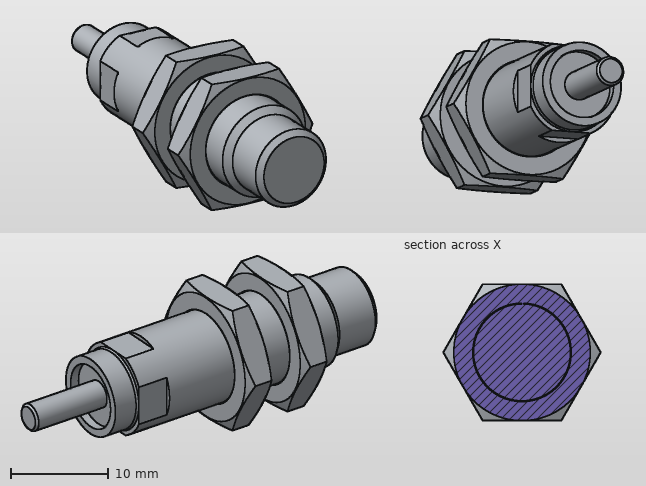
import cadquery as cq
import math

length = 41.5
collar_start = 7.9
flare_start = 10.5
body_start = 10.75
body_end = 36.35
nut_starts = (22.45, 29.42)

rod_diameter = 3.0
collar_diameter = 8.7
recess_diameter = 7.0
body_diameter = 10.0
tail_diameter = 8.5

rod_chamfer = 0.25
tail_chamfer = 0.62
recess_depth = 1.0

flat_length = 3.53
across_flats = 9.0

nut_width = 3.0
nut_across_corners = 16.2
nut_face_diameter = 13.85
nut_chamfer_angle = 22.0
bore_chamfer = 0.1


def cylinder(start, end, diameter):
    """Solid cylinder along X between two stations."""
    return cq.Workplane("YZ", origin=(start, 0, 0)).circle(diameter / 2).extrude(end - start)


def make_rod():
    rod = cylinder(0, body_start, rod_diameter)
    return rod.faces("<X").chamfer(rod_chamfer)


def make_collar():
    """Recessed collar that flares out to the wrench flats where it meets the body."""
    collar = cylinder(collar_start, flare_start, collar_diameter)
    flare = (
        cq.Workplane("YZ", origin=(flare_start, 0, 0))
        .circle(collar_diameter / 2)
        .workplane(offset=body_start - flare_start)
        .circle(across_flats / 2)
        .loft()
    )
    recess = cylinder(collar_start, collar_start + recess_depth, recess_diameter)
    return collar.union(flare).cut(recess)


def make_body():
    """Main barrel, beveled down to the tail, with four wrench flats."""
    bevel = (body_diameter - tail_diameter) / 2
    body = cylinder(body_start, body_end, body_diameter).faces(">X").chamfer(bevel)
    front = cylinder(body_start, body_start + flat_length, body_diameter)
    square = cq.Workplane("YZ", origin=(body_start, 0, 0)).rect(across_flats, across_flats).extrude(flat_length)
    return body.cut(front.cut(square))


def make_tail():
    tail = cylinder(body_end, length, tail_diameter)
    return tail.faces(">X").chamfer(tail_chamfer)


def make_nut(start):
    """Hexagonal nut with conically chamfered corners and a chamfered bore."""
    corner_radius = nut_across_corners / 2
    face_radius = nut_face_diameter / 2
    chamfer_depth = (corner_radius - face_radius) * math.tan(math.radians(nut_chamfer_angle))
    hexagon = cq.Workplane("YZ", origin=(start, 0, 0)).polygon(6, nut_across_corners).extrude(nut_width)
    end = start + nut_width
    envelope = (
        cq.Workplane("XY")
        .moveTo(start, 0)
        .lineTo(start, face_radius)
        .lineTo(start + chamfer_depth, corner_radius)
        .lineTo(end - chamfer_depth, corner_radius)
        .lineTo(end, face_radius)
        .lineTo(end, 0)
        .close()
        .revolve(360, (0, 0, 0), (1, 0, 0))
    )
    bore = cylinder(start, end, body_diameter)
    nut = hexagon.intersect(envelope).cut(bore)
    bore_edge_limit = body_diameter / 2 + bore_chamfer
    bore_edges = cq.selectors.BoxSelector(
        (start - bore_chamfer, -bore_edge_limit, -bore_edge_limit),
        (end + bore_chamfer, bore_edge_limit, bore_edge_limit),
        boundingbox=True,
    )
    return nut.edges("%CIRCLE").edges(bore_edges).chamfer(bore_chamfer)



result = make_rod().union(make_collar()).union(make_body()).union(make_tail())
for nut_start in nut_starts:
    result = result.union(make_nut(nut_start))